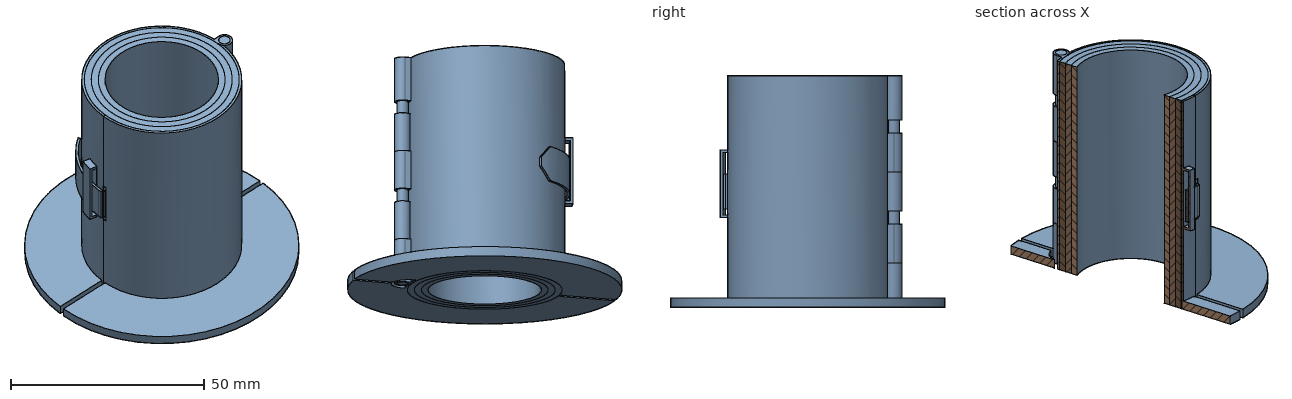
import cadquery as cq
import math

height = 60.0
flange_radius = 35.5
flange_thickness = 2.5
flange_gap = 1.2

bore_radius = 29.3 / 2
inner_layer_radius = 16.4
middle_layer_radius = 18.25
shell_inner_radius = 40.1 / 2
shell_radius = 20.7
mid_wall_radius = (shell_inner_radius + shell_radius) / 2

pin_radius = 3.0 / 2
knuckle_radius = 4.2 / 2
hinge_y = 22.3
end_knuckle_length = 11.5
knuckle_length = 10.1
hinge_relief_radius = 9.0 / 2
hinge_relief_y = 20.6

strap_thickness = 0.675
strap_width = 9.1
strap_outer_y = 21.8
strap_inner_y = strap_outer_y - strap_thickness
strap_end_x = 0.3
strap_bend_x = -0.65
strap_center_y = 0.2
strap_outer_radius = strap_outer_y + strap_center_y
strap_inner_radius = strap_outer_radius - strap_thickness
strap_tip_angle = 65.7
strap_tip_chamfer = 3.35
strap_bottom = (height - strap_width) / 2

root_width = 0.65
root_outer_y = 21.3
pad_width = 1.0
pad_height = 11.5
pad_radius = 20.8
pad_bottom = (height - pad_height) / 2

buckle_angle = 12.1
buckle_width = 3.5
buckle_height = 17.55
buckle_bottom = 23.2
buckle_bar = 0.7
slot_outer_radius = 22.1
buckle_outer_radius = slot_outer_radius + buckle_bar

LEFT = -1
RIGHT = 1


def cylinder(radius, length, bottom=0.0, y=0.0):
    return cq.Workplane("XY", origin=(0, y, bottom)).circle(radius).extrude(length)


def ring(inner, outer, length):
    return cq.Workplane("XY").circle(outer).circle(inner).extrude(length)


def side_block(side, gap=0.0):
    """Block that fills everything on one side of the YZ plane, starting gap away from it."""
    span = 2 * flange_radius
    block = cq.Workplane("XY").box(span, span, height, centered=(True, True, False))
    return block.translate((side * (span / 2 + gap), 0, 0))


def knuckle_spans(side):
    """Bottom and length of each knuckle: three on the left shell, two on the right."""
    middle_bottom = (height - knuckle_length) / 2
    if side == LEFT:
        return [
            (0.0, end_knuckle_length),
            (middle_bottom, knuckle_length),
            (height - end_knuckle_length, end_knuckle_length),
        ]
    return [
        (end_knuckle_length, knuckle_length),
        (middle_bottom + knuckle_length, knuckle_length),
    ]


def barrel(bottom, length):
    return cylinder(knuckle_radius, length, bottom, hinge_y)


def knuckle(side, bottom, length):
    """Barrel with a straight flank running down into the shell wall on its own side."""
    flank = (
        cq.Workplane("XY", origin=(0, 0, bottom))
        .moveTo(0, mid_wall_radius)
        .lineTo(0, hinge_y)
        .lineTo(side * knuckle_radius, hinge_y)
        .lineTo(side * knuckle_radius, mid_wall_radius)
        .close()
        .extrude(length)
    )
    return barrel(bottom, length).union(flank)


def shell_half(side):
    """Half tube with its half flange and hinge knuckles."""
    flange = ring(mid_wall_radius, flange_radius, flange_thickness)
    flange = flange.intersect(side_block(side, flange_gap / 2))
    relief = cylinder(hinge_relief_radius, flange_thickness, y=hinge_relief_y)
    flange = flange.cut(relief)

    tube = ring(shell_inner_radius, shell_radius, height)
    half = tube.intersect(side_block(side)).union(flange)
    for bottom, length in knuckle_spans(-side):
        half = half.cut(barrel(bottom, length))
    for bottom, length in knuckle_spans(side):
        half = half.union(knuckle(side, bottom, length))
    return half.cut(cylinder(pin_radius, height, y=hinge_y))


def strap_point(radius, angle):
    turn = math.radians(angle)
    return (
        strap_bend_x - radius * math.sin(turn),
        strap_center_y - radius * math.cos(turn),
    )


def strap_band():
    """Flat end followed by the long curved run."""
    middle_angle = strap_tip_angle / 2
    return (
        cq.Workplane("XY", origin=(0, 0, strap_bottom))
        .moveTo(strap_end_x, -strap_outer_y)
        .lineTo(strap_bend_x, -strap_outer_y)
        .threePointArc(
            strap_point(strap_outer_radius, middle_angle),
            strap_point(strap_outer_radius, strap_tip_angle),
        )
        .lineTo(*strap_point(strap_inner_radius, strap_tip_angle))
        .threePointArc(
            strap_point(strap_inner_radius, middle_angle),
            (strap_bend_x, -strap_inner_y),
        )
        .lineTo(strap_end_x, -strap_inner_y)
        .close()
        .extrude(strap_width)
    )


def strap_tip_corner(edge):
    """Triangular prism, along the radius at the tip, for the upper (1) or lower (-1) tip corner."""
    turn = math.radians(strap_tip_angle)
    start_radius = strap_inner_radius - strap_thickness
    tip_plane = cq.Plane(
        origin=(*strap_point(start_radius, strap_tip_angle), height / 2),
        xDir=(math.cos(turn), -math.sin(turn), 0),
        normal=(-math.sin(turn), -math.cos(turn), 0),
    )
    corner_z = edge * strap_width / 2
    return (
        cq.Workplane(tip_plane)
        .moveTo(0, corner_z)
        .lineTo(strap_tip_chamfer, corner_z)
        .lineTo(0, corner_z - edge * strap_tip_chamfer)
        .close()
        .extrude(strap_outer_radius + strap_thickness - start_radius)
    )


def seam_block(width, outer_y, bottom, length):
    """Block on the right of the seam, from inside the shell wall out to outer_y."""
    return (
        cq.Workplane("XY", origin=(0, -outer_y, bottom))
        .rect(width, outer_y - mid_wall_radius, centered=False)
        .extrude(length)
    )


def strap():
    """Tapered band with the root step and the pad that join it to the shell."""
    band = strap_band()
    for edge in (-1, 1):
        band = band.cut(strap_tip_corner(edge))
    root = seam_block(root_width, root_outer_y, strap_bottom, strap_width)
    pad = seam_block(pad_width, pad_radius, pad_bottom, pad_height)
    pad = pad.intersect(cylinder(pad_radius, pad_height, pad_bottom))
    return band.union(root).union(pad)


def buckle():
    """Rectangular loop standing on the shell, with a slot that the strap passes through."""
    loop = (
        cq.Workplane("XY", origin=(-buckle_width / 2, -buckle_outer_radius, buckle_bottom))
        .rect(buckle_width, buckle_outer_radius - mid_wall_radius, centered=False)
        .extrude(buckle_height)
    )
    slot = (
        cq.Workplane("XY", origin=(-buckle_width / 2, -slot_outer_radius, buckle_bottom + buckle_bar))
        .rect(buckle_width, slot_outer_radius - shell_radius, centered=False)
        .extrude(buckle_height - 2 * buckle_bar)
    )
    return loop.cut(slot).rotate((0, 0, 0), (0, 0, 1), -buckle_angle)


left_shell = shell_half(LEFT).union(buckle())
right_shell = shell_half(RIGHT).union(strap())
hinge_pin = cylinder(pin_radius, height, y=hinge_y)

layer_radii = [bore_radius, inner_layer_radius, middle_layer_radius, shell_inner_radius]
layers = [ring(inner, outer, height) for inner, outer in zip(layer_radii, layer_radii[1:])]

result = cq.Compound.makeCompound(
    [left_shell.val(), right_shell.val(), hinge_pin.val(), *[layer.val() for layer in layers]]
)